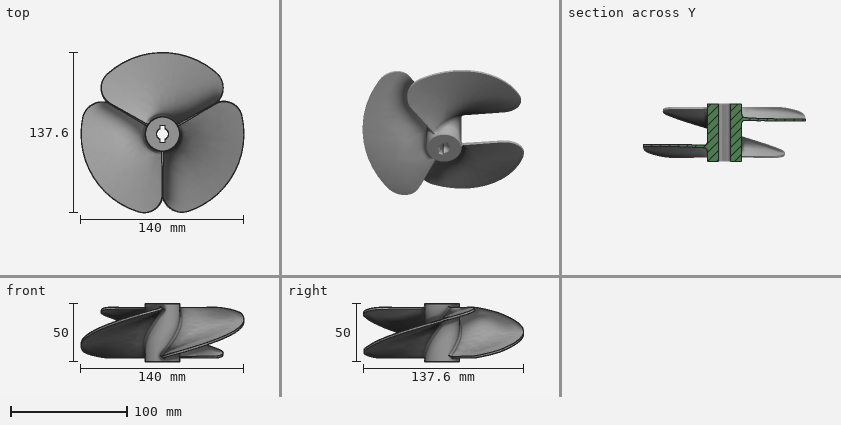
import cadquery as cq
import math

hub_radius = 15.0
hub_height = 50.0
hub_chamfer = 0.4
bore_radius = 5.0
key_width = 4.0
key_span = 14.3

blade_count = 3
blade_sweep = 360 / blade_count
tip_radius = 70.0
blade_rise = 42.0
blade_thickness = 2.0
low_corner_radius = 16.9
high_corner_radius = 16.0
root_fillet = 2.0
root_radius = 11.2
trim_margin = 1.4
first_blade_start = 30.0

tolerance = 0.01


def make_hub():
    hub = cq.Workplane("XY").cylinder(hub_height, hub_radius)
    return hub.faces("|Z").edges().chamfer(hub_chamfer)


def make_bore():
    bore = cq.Workplane("XY").circle(bore_radius).extrude(hub_height, both=True)
    keys = cq.Workplane("XY").rect(key_width, key_span).extrude(hub_height, both=True)
    return bore.union(keys)


def polar(radius, angle):
    return (radius * math.cos(angle), radius * math.sin(angle))


def rounded_corner(radius):
    """Arc tangent to the radial edge at angle 0 and to the tip circle, as polar points in order."""
    centre_distance = tip_radius - radius
    tip_angle = math.asin(radius / centre_distance)
    straight_end = centre_distance * math.cos(tip_angle)

    middle_direction = (tip_angle - math.pi / 2) / 2
    middle_x = straight_end + radius * math.cos(middle_direction)
    middle_y = radius + radius * math.sin(middle_direction)
    middle = (math.hypot(middle_x, middle_y), math.atan2(middle_y, middle_x))
    return (straight_end, 0), middle, (tip_radius, tip_angle)


def make_blade_outline():
    """Sector prism between two radial edges, with both outer corners rounded."""
    sweep = math.radians(blade_sweep)
    low_start, low_middle, low_end = rounded_corner(low_corner_radius)
    high_corner = rounded_corner(high_corner_radius)
    high_start, high_middle, high_end = [(radius, sweep - angle) for radius, angle in high_corner]

    return (
        cq.Workplane("XY")
        .lineTo(*polar(*low_start))
        .threePointArc(polar(*low_middle), polar(*low_end))
        .threePointArc(polar(tip_radius, sweep / 2), polar(*high_end))
        .threePointArc(polar(*high_middle), polar(*high_start))
        .close()
        .extrude(blade_rise, both=True)
    )


def make_helix(radius):
    pitch = blade_rise * blade_count
    return cq.Wire.makeHelix(pitch, blade_rise, radius).Edges()[0]


def make_blade():
    helicoid = cq.Face.makeRuledSurface(make_helix(root_radius), make_helix(tip_radius + trim_margin))
    sheet = helicoid.intersect(make_blade_outline().val()).Faces()[0]

    half_blade = sheet.thicken(-blade_thickness / 2)
    broad_faces = sorted(half_blade.Faces(), key=lambda face: face.Area())[-2:]
    outer_side = max(broad_faces, key=lambda face: face.Center().z)
    blade = outer_side.thicken(-blade_thickness)
    return cq.Workplane(blade.translate(cq.Vector(0, 0, -blade_rise / 2)))


def is_root_edge(edge):
    """True for the helical edges where a broad blade side meets the hub."""
    if edge.geomType() in ("LINE", "CIRCLE"):
        return False
    points = [edge.positionAt(fraction) for fraction in (0, 0.5, 1)]
    on_hub = all(abs(math.hypot(point.x, point.y) - hub_radius) < tolerance for point in points)
    rise = abs(points[2].z - points[0].z)
    return on_hub and rise > blade_thickness


blade = make_blade()
propeller = make_hub()
for index in range(blade_count):
    angle = first_blade_start + index * blade_sweep
    propeller = propeller.union(blade.rotate((0, 0, 0), (0, 0, 1), angle))
root_edges = [edge for edge in propeller.edges().vals() if is_root_edge(edge)]
propeller = propeller.newObject(root_edges).fillet(root_fillet)
result = propeller.cut(make_bore())